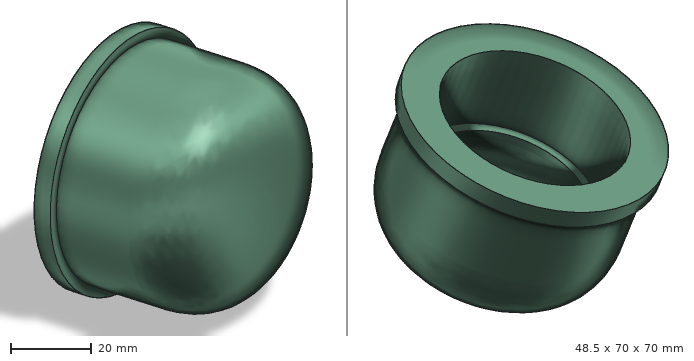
import cadquery as cq

overall_length = 48.5
flange_diameter = 70.0
flange_thickness = 4.9
body_diameter = 64.5

bore_diameter = 50.0
seat_diameter = 44.9
seat_length = 2.5

dome_start = 27.0
bore_depth = dome_start - seat_length
wall_thickness = (body_diameter - seat_diameter) / 2

rim_handle = 0.71
crown_handle = 0.645


def disc(diameter, length):
    """Cylinder about X, starting at the flange face (X = 0)."""
    return cq.Workplane("YZ").circle(diameter / 2).extrude(length)


def domed_cylinder(diameter, tip):
    """Cylinder about X from the flange face to dome_start, closed by a dome ending at tip."""
    radius = diameter / 2
    dome_depth = tip - dome_start
    dome_curve = [
        (dome_start, radius),
        (dome_start + rim_handle * dome_depth, radius),
        (tip, crown_handle * radius),
        (tip, 0),
    ]
    half_profile = cq.Workplane("XY").lineTo(0, radius).lineTo(dome_start, radius).bezier(dome_curve).close()
    return half_profile.revolve(360, (0, 0, 0), (1, 0, 0))


flange = disc(flange_diameter, flange_thickness)
body = domed_cylinder(body_diameter, overall_length)
bore = disc(bore_diameter, bore_depth)
domed_cavity = domed_cylinder(seat_diameter, overall_length - wall_thickness)

result = flange.union(body).cut(bore).cut(domed_cavity)